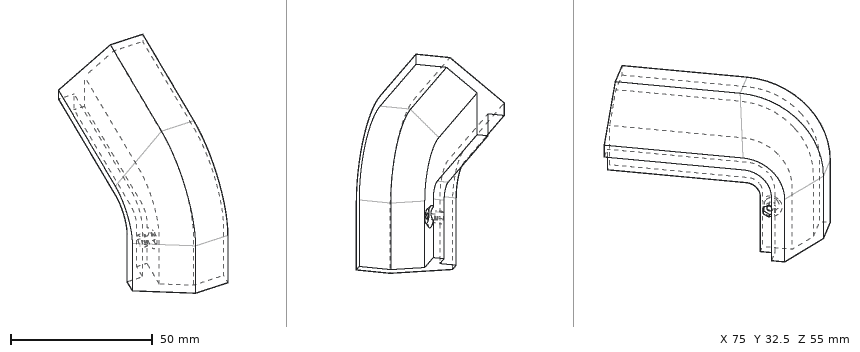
import math

import cadquery as cq

LENGTH = 75.0
HEIGHT = 55.0
BACK_Y = 32.5

RIM_WIDTH = 12.5
SLOPE_Y = BACK_Y - RIM_WIDTH
TOP_DROP = 15.0
SIDE_DROP = 10.0
RIM_RADIUS = 30.0
BEND_Z = HEIGHT - RIM_RADIUS
WALL = 3.85

STEP_DEPTH = 6.0
FLANGE_THICKNESS = 4.0
FLOOR_Y = STEP_DEPTH + FLANGE_THICKNESS
STEP_EDGE = 4.75
STEP_RADIUS = 10.0
STEP_X = LENGTH - SIDE_DROP - STEP_EDGE
STEP_Z = HEIGHT - TOP_DROP - STEP_EDGE

OPENING_X = 55.0
OPENING_Z = 27.0
OPENING_RADIUS = 5.0

SCREW_X = 58.1
SCREW_Z = 16.5
SCREW_DIAMETER = 2.1
NUT_ACROSS_CORNERS = 4.85
NUT_DEPTH = 2.0
BOSS_HEIGHT = 1.4
BOSS_BASE_RADIUS = 4.0
BOSS_TIP_RADIUS = BOSS_BASE_RADIUS - BOSS_HEIGHT

OVERRUN = 5.0


def xz_plane(y):
    """Plane parallel to XZ at the given y, with its normal pointing to -Y."""
    return cq.Workplane(cq.Plane(origin=(0, y, 0), xDir=(1, 0, 0), normal=(0, -1, 0)))


def bend_outline(y, right, top, radius, overrun=0.0):
    """Block outline that meets the left and bottom ends, with its upper right corner rounded."""
    left = -overrun
    bottom = -overrun
    mid = radius * math.sqrt(0.5)
    return (
        xz_plane(y)
        .moveTo(left, bottom)
        .lineTo(right, bottom)
        .lineTo(right, top - radius)
        .threePointArc((right - radius + mid, top - radius + mid), (right - radius, top))
        .lineTo(left, top)
        .close()
    )


def bend_prism(y_front, y_back, right, top, radius, overrun=0.0):
    """Straight block between two y positions, extruded forwards from the back one."""
    return bend_outline(y_back, right, top, radius, overrun).extrude(y_back - y_front)


def bend_loft(front, back, overrun=0.0):
    """Block tapering between two sections, each given as (y, right, top, radius)."""
    wires = [bend_outline(*section, overrun).wire().val() for section in (front, back)]
    return cq.Workplane(cq.Solid.makeLoft(wires, True))


def outer_section(y):
    """Section of the sloping outer faces at y; its bend always ends at BEND_Z."""
    fall = (SLOPE_Y - y) / SLOPE_Y
    top = HEIGHT - TOP_DROP * fall
    return y, LENGTH - SIDE_DROP * fall, top, top - BEND_Z


def inner_section(y):
    """Section of the sloping inner faces at y, one wall thickness inside the outer faces."""
    _, right, top, _ = outer_section(y)
    inner_right = right - WALL * math.hypot(1, SIDE_DROP / SLOPE_Y)
    inner_top = top - WALL * math.hypot(1, TOP_DROP / SLOPE_Y)
    return y, inner_right, inner_top, inner_top - BEND_Z


def make_shell():
    rim = bend_prism(SLOPE_Y, BACK_Y, LENGTH, HEIGHT, RIM_RADIUS)
    slopes = bend_loft(outer_section(0), outer_section(SLOPE_Y))
    return rim.union(slopes)


def make_hollow():
    """Space behind the flange: a straight bend trimmed by the inner slopes."""
    end_y = BACK_Y + OVERRUN
    straight = bend_prism(FLOOR_Y, end_y, LENGTH - WALL, HEIGHT - WALL, RIM_RADIUS - WALL, OVERRUN)
    slopes = bend_loft(inner_section(FLOOR_Y), inner_section(end_y), OVERRUN)
    return straight.intersect(slopes)


def make_step():
    return bend_prism(-OVERRUN, STEP_DEPTH, STEP_X, STEP_Z, STEP_RADIUS, OVERRUN)


def make_opening():
    return bend_prism(-OVERRUN, BACK_Y + OVERRUN, OPENING_X, OPENING_Z, OPENING_RADIUS, OVERRUN)


def make_boss():
    base = cq.Vector(SCREW_X, FLOOR_Y, SCREW_Z)
    cone = cq.Solid.makeCone(BOSS_BASE_RADIUS, BOSS_TIP_RADIUS, BOSS_HEIGHT, base, cq.Vector(0, 1, 0))
    return cq.Workplane(cone)


def make_nut_pocket():
    return (
        xz_plane(STEP_DEPTH)
        .center(SCREW_X, SCREW_Z)
        .transformed(rotate=(0, 0, 90))
        .polygon(6, NUT_ACROSS_CORNERS)
        .extrude(-NUT_DEPTH)
    )


def make_screw_hole():
    hole_depth = FLANGE_THICKNESS + BOSS_HEIGHT + OVERRUN
    return xz_plane(STEP_DEPTH).center(SCREW_X, SCREW_Z).circle(SCREW_DIAMETER / 2).extrude(-hole_depth)


result = (
    make_shell()
    .cut(make_hollow())
    .cut(make_step())
    .union(make_boss())
    .cut(make_opening())
    .cut(make_nut_pocket())
    .cut(make_screw_hole())
)